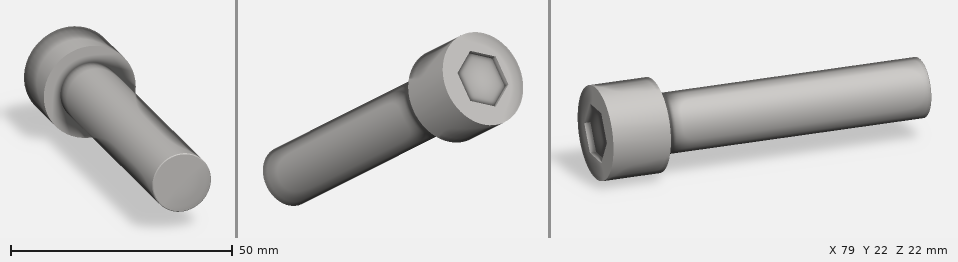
import cadquery as cq
import math

total_length = 79.0
head_diameter = 22.0
shank_diameter = 14.0
head_length = shank_diameter
tip_chamfer = 0.2
socket_across_flats = 12.0
socket_depth = 1.5

head = cq.Workplane("YZ").circle(head_diameter / 2).extrude(head_length)

shank = (
    cq.Workplane("YZ")
    .circle(shank_diameter / 2)
    .extrude(total_length)
    .faces(">X")
    .chamfer(tip_chamfer)
)

socket_across_corners = socket_across_flats / math.cos(math.pi / 6)
socket = cq.Workplane("YZ").polygon(6, socket_across_corners).extrude(socket_depth)

result = head.union(shank).cut(socket)